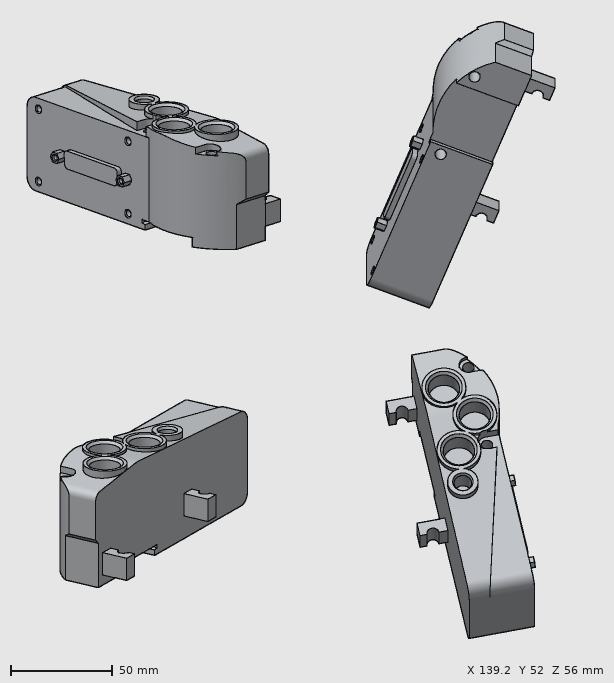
import cadquery as cq
import math

length = 139.2
block_depth = 33.0
height = 56.0
overlap = 1.4

ridge_x = 101.6
ridge_z = 55.0
left_slope = math.radians(3)
right_slope = math.radians(7.5)
ridge_radius = 26.5
left_roof_radius = 6.7
right_roof_radius = 4.5
bottom_radius = 6.0

step_low_z = 23.5
step_depth = 2.5

slot_left = 85.2
slot_right = 119.2
slot_height = 5.0
hook_lip_z = 2.9
hook_depth = 2.4
hook_rise = 0.4

bulge_x = 103.7
bulge_y = 37.9
bulge_radius = 40.9
bulge_front = bulge_y - bulge_radius
flat_front_end = 88.0
lead_in_y = 1.5

shelf_z = 49.0
shelf_radius = 6.3
slant_left_y = 22.5
slant_right_y = 3.0

mount_places = [(80.7, 7.1), (125.5, 7.1)]
mount_diameter = 5.5
pocket_radius = 4.6
slant_right_x = mount_places[0][0] - pocket_radius

main_bore_diameter = 15.5
main_port = (10.9, 9.0, main_bore_diameter / 2)
pilot_port = (7.5, 5.0, 4.3)
ports = [
    (59.2, 23.8, *pilot_port),
    (77.3, 22.0, *main_port),
    (95.4, 10.2, *main_port),
    (113.3, 22.0, *main_port),
]
port_depth = 11.8
port_countersink = 1.4
collar_base_z = 49.4

screw_places = [(x, z) for x in (8.2, 72.8) for z in (5.4, 43.3)]
screw_diameter = 3.3
screw_rim_diameter = 4.5
screw_depth = 7.0
connector_z = 23.5
nut_places = [25.3, 72.5]
nut_across_corners = 6.1
nut_length = 5.0
nut_hole_diameter = 2.5
nut_rim_diameter = 3.6
nut_hole_depth = 4.2
plug_top_half = 19.3
plug_bottom_half = 18.7
plug_height = 9.3
plug_length = 2.8
plug_corner_radius = 2.2

clips = [(51.2, 12.1), (125.4, 5.4)]
clip_width = 7.2
clip_length = 14.0
clip_height = 11.8
clip_notch_radius = 2.9
clip_notch_y = 7.5


def roof_z(x):
    """Height of the sharp (unrounded) roof lines at x."""
    if x < ridge_x:
        return ridge_z - (ridge_x - x) * math.tan(left_slope)
    return ridge_z - (x - ridge_x) * math.tan(right_slope)


def box(x0, x1, y0, y1, z0, z1):
    return cq.Workplane("XY").box(x1 - x0, y1 - y0, z1 - z0, centered=False).translate((x0, y0, z0))


def cylinder(x, y, radius, z0, z1):
    return cq.Workplane("XY", origin=(x, y, z0)).circle(radius).extrude(z1 - z0)


def along_depth(profile):
    """Extrude an XZ outline from in front of the bulge to the back face."""
    front = bulge_front - overlap
    return profile.extrude(block_depth - front).translate((0, block_depth, 0))


def plan_outline(x_start, z1):
    """Plan shape of the bulged end: a short flat, then an arc up to the right end."""
    def arc_y(x):
        return bulge_y - math.sqrt(bulge_radius**2 - (x - bulge_x)**2)

    return (
        cq.Workplane("XY")
        .moveTo(x_start, block_depth)
        .lineTo(x_start, lead_in_y)
        .lineTo(flat_front_end, arc_y(flat_front_end))
        .threePointArc((bulge_x, bulge_front), (length, arc_y(length)))
        .lineTo(length, block_depth)
        .close()
        .extrude(z1)
    )


def make_roofed_block():
    side = along_depth(
        cq.Workplane("XZ")
        .moveTo(0, 0)
        .lineTo(0, roof_z(0))
        .lineTo(ridge_x, ridge_z)
        .lineTo(length, roof_z(length))
        .lineTo(length, 0)
        .close()
    )

    def round_edge(solid, x, z, radius):
        edge = cq.selectors.NearestToPointSelector((x, block_depth / 2, z))
        return solid.edges("|Y").edges(edge).fillet(radius)

    side = round_edge(side, 0, 0, bottom_radius)
    side = round_edge(side, 0, roof_z(0), left_roof_radius)
    side = round_edge(side, length, roof_z(length), right_roof_radius)
    side = round_edge(side, ridge_x, ridge_z, ridge_radius)
    left_end = mount_places[0][0]
    plan = plan_outline(left_end, height)
    plan = plan.union(box(0, left_end, 0, block_depth, 0, height))
    plan = plan.union(box(0, flat_front_end, 0, block_depth, 0, shelf_z))
    return side.intersect(plan)


def make_shelf_block():
    block = box(0, slant_right_x + overlap, 0, block_depth, 0, shelf_z)
    block = block.edges("|Y and <X and >Z").fillet(shelf_radius)
    return block.edges("|Y and <X and <Z").fillet(bottom_radius)


def make_shelf_wedge():
    return (
        cq.Workplane("XY")
        .polyline([
            (-overlap, -overlap),
            (-overlap, slant_left_y),
            (0, slant_left_y),
            (slant_right_x, slant_right_y),
            (slant_right_x, -overlap),
        ])
        .close()
        .extrude(height)
    )


def slot_prism(x, y, radius, z0, z1):
    """Round-ended prism that runs forward past the front of the part."""
    front = bulge_front - overlap
    return cylinder(x, y, radius, z0, z1).union(box(x - radius, x + radius, front, y, z0, z1))


def add_ports(body):
    for x, y, collar, _, _ in ports:
        body = body.union(cylinder(x, y, collar, collar_base_z, height))
    return body


def cut_ports(body):
    for x, y, _, rim, bore in ports:
        body = body.cut(cylinder(x, y, bore, height - port_depth, height + overlap))
        cone = cq.Solid.makeCone(bore, rim, port_countersink, cq.Vector(x, y, height - port_countersink))
        body = body.cut(cq.Workplane(obj=cone))
    return body


def cut_mounts(body):
    for x, y in mount_places:
        body = body.cut(slot_prism(x, y, pocket_radius, shelf_z, height + overlap))
        body = body.cut(cylinder(x, y, mount_diameter / 2, -overlap, height))
    return body


def cut_end_step(body):
    step = (
        cq.Workplane("XZ")
        .moveTo(length - step_depth, -overlap)
        .lineTo(length - step_depth, step_low_z)
        .lineTo(length, step_low_z + step_depth)
        .lineTo(length + overlap, step_low_z + step_depth)
        .lineTo(length + overlap, -overlap)
        .close()
    )
    return body.cut(along_depth(step))


def cut_rail_slot(body):
    slot = (
        cq.Workplane("XZ")
        .moveTo(slot_left, -overlap)
        .lineTo(slot_left, hook_lip_z)
        .lineTo(slot_left - hook_depth, hook_lip_z + hook_rise)
        .lineTo(slot_left - hook_depth, slot_height)
        .lineTo(slot_right, slot_height)
        .lineTo(slot_right, -overlap)
        .close()
    )
    return body.cut(along_depth(slot))


def front_hole(x, z, face_y, diameter, rim_diameter, depth):
    """Blind hole going into +Y from face_y, with a 45 degree rim."""
    hole = cq.Solid.makeCylinder(diameter / 2, depth, cq.Vector(x, face_y, z), cq.Vector(0, 1, 0))
    rim_depth = (rim_diameter - diameter) / 2
    rim = cq.Solid.makeCone(
        rim_diameter / 2, diameter / 2, rim_depth, cq.Vector(x, face_y, z), cq.Vector(0, 1, 0)
    )
    return cq.Workplane(obj=hole).union(cq.Workplane(obj=rim))


def add_connector(body):
    middle = sum(nut_places) / len(nut_places)
    plug = (
        cq.Workplane("XZ", origin=(middle, 0, connector_z))
        .polyline([
            (-plug_top_half, plug_height / 2),
            (plug_top_half, plug_height / 2),
            (plug_bottom_half, -plug_height / 2),
            (-plug_bottom_half, -plug_height / 2),
        ])
        .close()
        .extrude(plug_length)
        .edges("|Y")
        .fillet(plug_corner_radius)
    )
    body = body.union(plug)
    for x in nut_places:
        centre = cq.Workplane("XZ", origin=(x, 0, connector_z))
        body = body.union(centre.polygon(6, nut_across_corners).extrude(nut_length))
        body = body.cut(
            front_hole(x, connector_z, -nut_length, nut_hole_diameter, nut_rim_diameter, nut_hole_depth)
        )
    return body


def cut_screw_holes(body):
    for x, z in screw_places:
        body = body.cut(front_hole(x, z, 0, screw_diameter, screw_rim_diameter, screw_depth))
    return body


def add_clips(body):
    back = block_depth + clip_length
    for x, z in clips:
        clip = box(x, x + clip_width, block_depth, back, z, z + clip_height)
        notch = cylinder(x, block_depth + clip_notch_y, clip_notch_radius, z, z + clip_height)
        body = body.union(clip.cut(notch))
    return body


wedge = make_shelf_wedge()

body = make_roofed_block().cut(wedge)
body = body.union(make_shelf_block().intersect(wedge))
body = add_ports(body)
body = cut_ports(body)
body = cut_mounts(body)
body = cut_end_step(body)
body = cut_rail_slot(body)
body = cut_screw_holes(body)
body = add_connector(body)
result = add_clips(body)